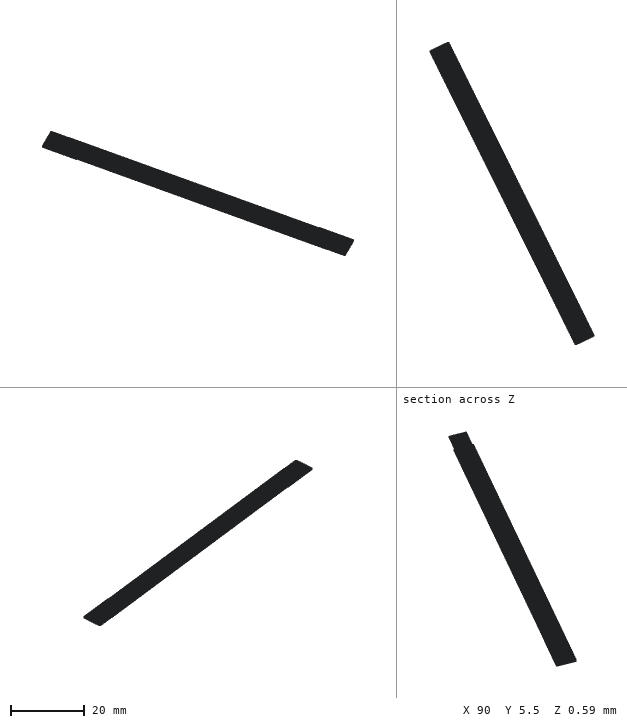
import cadquery as cq


length = 90.0
conductor_count = 10
width = 5.5
thickness = 0.59
conductor_share = 0.64
film_thickness = 0.0405
stiffener_thickness = 0.225
stiffener_length = 10.0

pitch = width / (conductor_count + 1)
conductor_width = conductor_share * pitch
contact_length = stiffener_length / 2
cable_thickness = thickness - 2 * stiffener_thickness
conductor_thickness = cable_thickness - 2 * film_thickness
film_length = length - contact_length

cable_bottom = -cable_thickness / 2
cable_top = cable_thickness / 2
conductor_bottom = -conductor_thickness / 2
conductor_top = conductor_thickness / 2


def strip(start_x, strip_length, strip_width, bottom, height, center_y=0):
    """Rectangular strip along X, centred on center_y."""
    return cq.Workplane("XY").box(
        strip_length, strip_width, height, centered=(False, True, False)
    ).translate((start_x, center_y, bottom))


top_film = strip(contact_length, film_length, width, conductor_top, film_thickness)
bottom_film = strip(0, film_length, width, cable_bottom, film_thickness)

lower_stiffener = strip(0, stiffener_length, width, cable_bottom - stiffener_thickness, stiffener_thickness)
upper_stiffener = strip(length - stiffener_length, stiffener_length, width, cable_top, stiffener_thickness)

result = top_film.union(upper_stiffener).union(bottom_film.union(lower_stiffener))

for index in range(conductor_count):
    conductor_y = (index - (conductor_count - 1) / 2) * pitch
    conductor = strip(0, length, conductor_width, conductor_bottom, conductor_thickness, conductor_y)
    result = result.union(conductor)